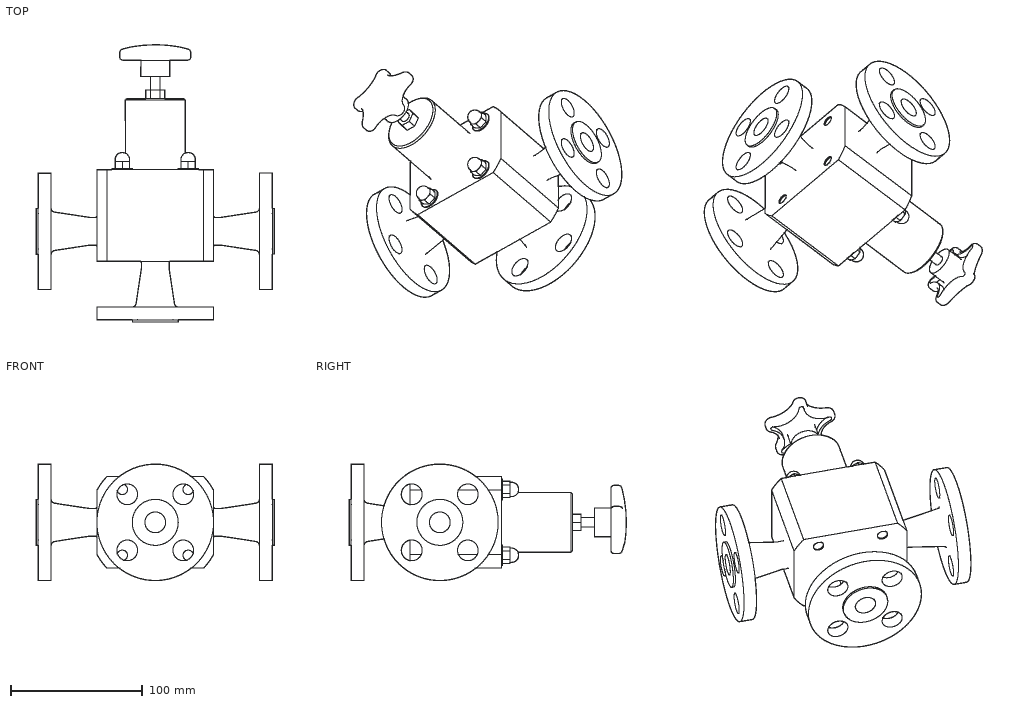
import cadquery as cq
import math


BODY_WIDTH = 88.9
BODY_HEIGHT = 69.85
BODY_DEPTH = 69.85
BODY_CORNER_RADIUS = 50.8
PORT_TO_FRONT = 22.86
BODY_FRONT = -PORT_TO_FRONT
BODY_BACK = BODY_FRONT + BODY_DEPTH

PORT_LENGTH = 46.29
PIPE_DIAMETER = 21.34
PIPE_STRAIGHT = 5.6
PIPE_ROOT_FILLET = 1.0
BORE_DIAMETER = 15.8
HUB_DIAMETER = 30.2
HUB_FILLET = 3.0
FLANGE_DIAMETER = 88.9
FLANGE_THICKNESS = 9.9
RAISED_FACE_DIAMETER = 35.05
RAISED_FACE_HEIGHT = 1.6
FLANGE_HOLE_DIAMETER = 15.75
FLANGE_BOLT_CIRCLE = 60.33
FLANGE_HOLE_COUNT = 4

BOLT_OFFSET = 25.1
BOLT_RECESS_DIAMETER = 7.94
BOLT_RECESS_DEPTH = 1.0
WASHER_DIAMETER = 15.88
WASHER_THICKNESS = 0.8
CAP_NUT_FLATS = 11.0
CAP_NUT_HEX_TOP = 6.3
CAP_NUT_COLLAR = 1.3

BONNET_DIAMETER = 45.72
BONNET_LENGTH = 54.1
BONNET_ROOT_FILLET = 6.35
BONNET_TOP_CHAMFER = 1.27

STEM_DIAMETER = 7.44
STEM_EXPOSED = 16.6
STEM_NUT_FLATS = 12.7
STEM_NUT_HEIGHT = 6.6

KNOB_HUB_DIAMETER = 22.1
KNOB_HUB_LENGTH = 12.5
KNOB_THICKNESS = 11.96
KNOB_LOBES = 5
KNOB_TIP_CIRCLE_RADIUS = 23.15
KNOB_TIP_RADIUS = 5.15
KNOB_VALLEY_CIRCLE_RADIUS = 31.0
KNOB_CROWN_RADIUS = 100.0
KNOB_TOP_FILLET = 2.8
KNOB_BOTTOM_FILLET = 2.6
KNOB_RIM_WIDTH = 3.3
KNOB_RECESS_DEPTH = 4.5
KNOB_HUB_FILLET = 3.5

BONNET_TOP = BODY_BACK + BONNET_LENGTH
KNOB_HUB_BOTTOM = BONNET_TOP + STEM_EXPOSED
KNOB_BOTTOM = KNOB_HUB_BOTTOM + KNOB_HUB_LENGTH
KNOB_TOP = KNOB_BOTTOM + KNOB_THICKNESS

BOLT_POINTS = [(x, z) for x in (-BOLT_OFFSET, BOLT_OFFSET) for z in (-BOLT_OFFSET, BOLT_OFFSET)]


def section_at(y):
    """Sketch plane normal to +Y at height y; its local axes are (Z, X)."""
    return cq.Workplane(cq.Plane(origin=(0, y, 0), xDir=(0, 0, 1), normal=(0, 1, 0)))


def hexagon(y, flats, height, corner_angle, x=0, z=0):
    """Hexagonal prism along +Y; corner_angle is measured from +Z."""
    corner_diameter = flats / math.cos(math.pi / 6)
    prism = section_at(y).polygon(6, corner_diameter).extrude(height)
    return prism.rotate((0, 0, 0), (0, 1, 0), corner_angle).translate((x, 0, z))


def make_body():
    block = section_at(BODY_FRONT).rect(BODY_HEIGHT, BODY_WIDTH).extrude(BODY_DEPTH)
    envelope = section_at(BODY_FRONT).circle(BODY_CORNER_RADIUS).extrude(BODY_DEPTH)
    return block.intersect(envelope)


def make_port():
    """Port along +X, starting from the body face at x = 0; its bore ends at that face."""
    pipe_radius = PIPE_DIAMETER / 2
    flange_front = PORT_LENGTH - RAISED_FACE_HEIGHT
    flange_back = flange_front - FLANGE_THICKNESS
    root_mid = PIPE_ROOT_FILLET * (1 - math.sqrt(0.5))
    cone_rise = HUB_DIAMETER / 2 - pipe_radius
    cone_run = flange_back - PIPE_STRAIGHT
    cone_angle = math.atan2(cone_rise, cone_run)
    fillet_x = flange_back - HUB_FILLET
    fillet_y = HUB_DIAMETER / 2 - HUB_FILLET * math.tan(cone_angle) + HUB_FILLET / math.cos(cone_angle)

    def fillet_point(angle):
        return (fillet_x + HUB_FILLET * math.cos(angle), fillet_y + HUB_FILLET * math.sin(angle))

    fillet_start = cone_angle - math.pi / 2
    profile = (
        cq.Workplane("XY")
        .lineTo(0, pipe_radius + PIPE_ROOT_FILLET)
        .threePointArc((root_mid, pipe_radius + root_mid), (PIPE_ROOT_FILLET, pipe_radius))
        .lineTo(PIPE_STRAIGHT, pipe_radius)
        .lineTo(*fillet_point(fillet_start))
        .threePointArc(fillet_point(fillet_start / 2), fillet_point(0))
        .lineTo(flange_back, FLANGE_DIAMETER / 2)
        .lineTo(flange_front, FLANGE_DIAMETER / 2)
        .lineTo(flange_front, RAISED_FACE_DIAMETER / 2)
        .lineTo(PORT_LENGTH, RAISED_FACE_DIAMETER / 2)
        .lineTo(PORT_LENGTH, 0)
        .close()
    )
    port = profile.revolve(360, (0, 0, 0), (1, 0, 0))
    holes = (
        cq.Workplane("YZ", origin=(flange_back, 0, 0))
        .polarArray(FLANGE_BOLT_CIRCLE / 2, 180 / FLANGE_HOLE_COUNT, 360, FLANGE_HOLE_COUNT)
        .circle(FLANGE_HOLE_DIAMETER / 2)
        .extrude(FLANGE_THICKNESS)
    )
    bore = cq.Workplane("YZ").circle(BORE_DIAMETER / 2).extrude(PORT_LENGTH)
    return port.cut(holes).cut(bore)


def turned(shape, angle):
    return shape.rotate((0, 0, 0), (0, 0, 1), angle)


def flared_root(radius, fillet, base, side):
    """Round root whose fillet widens from radius onto the plane y = base; side is +1 or -1 along Y."""
    root_mid = fillet * (1 - math.sqrt(0.5))
    return (
        cq.Workplane("XY", origin=(0, base, 0))
        .lineTo(radius + fillet, 0)
        .threePointArc((radius + root_mid, side * root_mid), (radius, side * fillet))
        .lineTo(0, side * fillet)
        .close()
        .revolve(360, (0, 0, 0), (0, 1, 0))
    )


def make_bonnet():
    bonnet = section_at(BODY_BACK).circle(BONNET_DIAMETER / 2).extrude(BONNET_LENGTH)
    bonnet = bonnet.faces(">Y").edges().chamfer(BONNET_TOP_CHAMFER)
    return bonnet.union(flared_root(BONNET_DIAMETER / 2, BONNET_ROOT_FILLET, BODY_BACK, 1))


def make_cap_nut(x, z):
    radius = CAP_NUT_FLATS / 2
    dome_base = BODY_BACK + CAP_NUT_HEX_TOP + CAP_NUT_COLLAR
    washer = section_at(BODY_BACK).center(z, x).circle(WASHER_DIAMETER / 2).extrude(WASHER_THICKNESS)
    nut = hexagon(BODY_BACK, CAP_NUT_FLATS, CAP_NUT_HEX_TOP, 0, x, z)
    collar = section_at(BODY_BACK).center(z, x).circle(radius).extrude(dome_base - BODY_BACK)
    dome = cq.Workplane("XY").sphere(radius).translate((x, dome_base, z))
    return washer.union(nut).union(collar).union(dome)


def make_bolt_recess(x, z):
    outline = section_at(BODY_FRONT).center(z, x).circle(BOLT_RECESS_DIAMETER / 2)
    return outline.extrude(BOLT_RECESS_DEPTH)


def make_stem():
    stem = section_at(BONNET_TOP).circle(STEM_DIAMETER / 2).extrude(STEM_EXPOSED)
    return stem.union(hexagon(BONNET_TOP, STEM_NUT_FLATS, STEM_NUT_HEIGHT, 90))


def polar(radius, angle):
    return (radius * math.cos(angle), radius * math.sin(angle))


def make_crown():
    """Disc wider than the handwheel whose top is a shallow spherical crown."""
    reach = 2 * KNOB_TIP_CIRCLE_RADIUS
    crown_centre = KNOB_TOP - KNOB_CROWN_RADIUS
    half_reach_top = crown_centre + math.sqrt(KNOB_CROWN_RADIUS**2 - (reach / 2) ** 2)
    reach_top = crown_centre + math.sqrt(KNOB_CROWN_RADIUS**2 - reach**2)
    return (
        cq.Workplane("XY")
        .moveTo(0, KNOB_HUB_BOTTOM)
        .lineTo(0, KNOB_TOP)
        .threePointArc((reach / 2, half_reach_top), (reach, reach_top))
        .lineTo(reach, KNOB_HUB_BOTTOM)
        .close()
        .revolve(360, (0, 0, 0), (0, 1, 0))
    )


def star_prism(inset, height):
    """Star of round tips joined by tangent concave arcs, one tip along +Z; inset shrinks its outline."""
    half_pitch = math.pi / KNOB_LOBES
    tip_radius = KNOB_TIP_RADIUS - inset
    centre_rise = KNOB_VALLEY_CIRCLE_RADIUS * math.sin(half_pitch)
    centre_run = KNOB_VALLEY_CIRCLE_RADIUS * math.cos(half_pitch) - KNOB_TIP_CIRCLE_RADIUS
    valley_arc = math.hypot(centre_run, centre_rise) - tip_radius
    side_angle = math.atan2(centre_rise, centre_run)
    tangent_x = KNOB_TIP_CIRCLE_RADIUS + tip_radius * math.cos(side_angle)
    tangent_y = tip_radius * math.sin(side_angle)
    tip_angle = math.atan2(tangent_y, tangent_x)
    tangent_reach = math.hypot(tangent_x, tangent_y)
    outline = section_at(KNOB_BOTTOM).moveTo(*polar(tangent_reach, -tip_angle))
    for lobe in range(KNOB_LOBES):
        angle = 2 * half_pitch * lobe
        tip = polar(KNOB_TIP_CIRCLE_RADIUS + tip_radius, angle)
        valley = polar(KNOB_VALLEY_CIRCLE_RADIUS - valley_arc, angle + half_pitch)
        next_start = polar(tangent_reach, angle + 2 * half_pitch - tip_angle)
        outline = outline.threePointArc(tip, polar(tangent_reach, angle + tip_angle))
        outline = outline.threePointArc(valley, next_start)
    return outline.close().extrude(height)


def make_hub_flare():
    """Part of the hub inside the recess, flaring onto the recess floor."""
    radius = KNOB_HUB_DIAMETER / 2
    core = section_at(KNOB_BOTTOM).circle(radius).extrude(KNOB_RECESS_DEPTH)
    return core.union(flared_root(radius, KNOB_HUB_FILLET, KNOB_BOTTOM + KNOB_RECESS_DEPTH, -1))


def make_knob():
    """Crowned star handwheel, hollow underneath, on a round hub."""
    star = star_prism(0, KNOB_THICKNESS).intersect(make_crown())
    star = star.faces("<Y").edges().fillet(KNOB_BOTTOM_FILLET)
    star = star.faces(">Y").edges().fillet(KNOB_TOP_FILLET)
    star = star.cut(star_prism(KNOB_RIM_WIDTH, KNOB_RECESS_DEPTH).cut(make_hub_flare()))
    hub = section_at(KNOB_HUB_BOTTOM).circle(KNOB_HUB_DIAMETER / 2).extrude(KNOB_HUB_LENGTH)
    return star.union(hub)


side_port = make_port().translate((BODY_WIDTH / 2, 0, 0))
front_port = make_port().translate((PORT_TO_FRONT, 0, 0))

valve = make_body()
for port in (side_port, turned(side_port, 180), turned(front_port, -90)):
    valve = valve.union(port)

valve = valve.union(make_bonnet())
for bolt_x, bolt_z in BOLT_POINTS:
    valve = valve.cut(make_bolt_recess(bolt_x, bolt_z))
    valve = valve.union(make_cap_nut(bolt_x, bolt_z))

result = valve.union(make_stem()).union(make_knob())